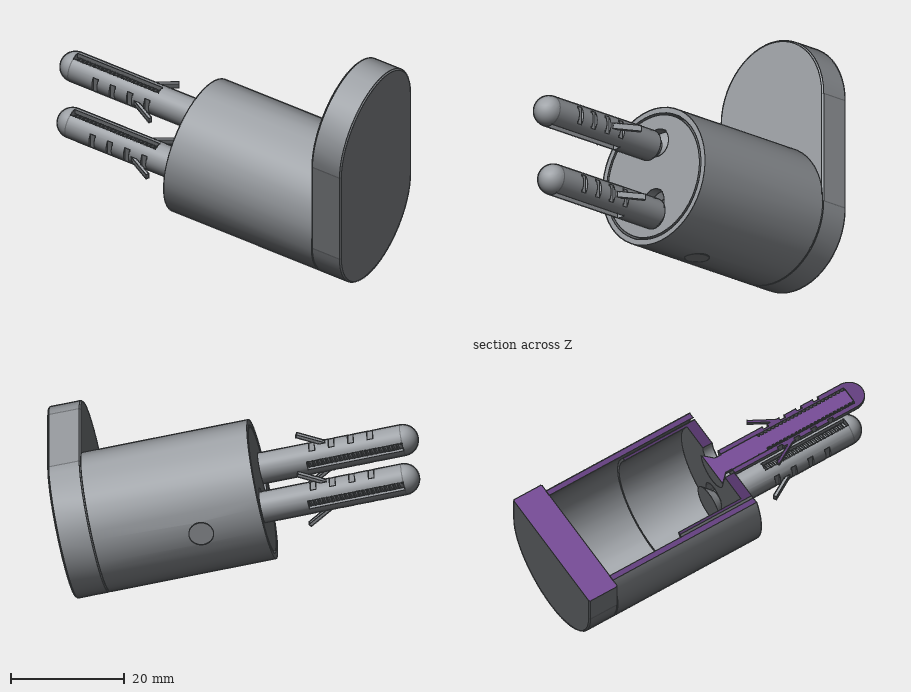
import cadquery as cq
import math


total_length = 64.3
plate_thickness = 6.0
tube_length = 30.0
plate_start = total_length - plate_thickness
tube_start = plate_start - tube_length

body_diameter = 25.0
body_radius = body_diameter / 2
plate_height = 45
plate_center_height = plate_height / 2 - body_radius
plate_chamfer = 0.25
bore_radius = 11.5

insert_clearance = 0.4
insert_radius = bore_radius - insert_clearance
insert_length = 15.0
insert_floor = 2.0
insert_wall = 0.5
slot_width = 5.0
slot_length = 7.2
slot_offset = 6.0

dowel_radius = 2.75
dowel_shift = 1.0
split_width = 1.55
split_end = 20.0
notch_count = 4
notch_width = 1.0
notch_depth = 0.5
notch_span = 10.5
notch_pitch = notch_span / (notch_count - 1)
first_notch = 8.2
barb_angle = 30
barb_thickness = 0.6
barb_height = 1.0
barb_tip_x = 20.7
barb_reach = 5.35
barb_length = 5.5

shank_radius = 1.8
crest_clearance = 0.03
crest_radius = shank_radius - crest_clearance
root_radius = 1.4
ten_turns_length = 8.0
thread_pitch = ten_turns_length / 10
ridge_base = 0.5
ridge_crest = 0.05
ridge_overlap = 0.05
head_radius = 3.55
thread_start = dowel_radius
thread_end = split_end + thread_pitch

set_screw_radius = 2.2
set_screw_inset = 11.0
set_screw_x = tube_start + set_screw_inset

upper_mount = (dowel_shift, slot_offset)
lower_mount = (0, -slot_offset - dowel_shift)
mounts = [upper_mount, lower_mount]


def rod(start, end, radius):
    """Solid cylinder along X, centred on the X axis."""
    return cq.Workplane("YZ", origin=(start, 0, 0)).circle(radius).extrude(end - start)


def set_screw_rod():
    """Vertical cylinder from the bottom of the tube up to the insert."""
    return (
        cq.Workplane("XY", origin=(set_screw_x, 0, -body_radius))
        .circle(set_screw_radius)
        .extrude(body_radius)
        .cut(rod(tube_start, plate_start, insert_radius))
    )


def make_plate():
    return (
        cq.Workplane("YZ", origin=(plate_start, 0, plate_center_height))
        .slot2D(plate_height, body_diameter, 90)
        .extrude(plate_thickness)
        .faces("<X or >X")
        .chamfer(plate_chamfer)
    )


def make_tube():
    tube = rod(tube_start, plate_start, body_radius)
    bore = rod(tube_start, plate_start, bore_radius)
    return tube.cut(bore).cut(set_screw_rod())


def make_insert():
    insert = rod(tube_start, tube_start + insert_length, insert_radius)
    cavity = rod(tube_start + insert_floor, tube_start + insert_length, insert_radius - insert_wall)
    face = cq.Workplane("YZ", origin=(tube_start, 0, 0))
    upper_slot = face.center(0, slot_offset).slot2D(slot_length, slot_width).extrude(insert_floor)
    lower_slot = face.center(0, -slot_offset).slot2D(slot_length, slot_width, 90).extrude(insert_floor)
    return insert.cut(cavity).cut(upper_slot).cut(lower_slot)


def make_barb(side):
    """Barb leaning out toward the tube, on the +Y (side = 1) or -Y (side = -1) flank."""
    slope = math.radians(barb_angle)
    along = (math.cos(slope), math.sin(slope))
    across = (math.sin(slope), -math.cos(slope))
    tip = (barb_tip_x, barb_reach)
    tip_inner = (tip[0] + across[0] * barb_thickness, tip[1] + across[1] * barb_thickness)
    root = (tip[0] - along[0] * barb_length, tip[1] - along[1] * barb_length)
    root_inner = (tip_inner[0] - along[0] * barb_length, tip_inner[1] - along[1] * barb_length)
    outline = [(x, side * y) for x, y in (root, tip, tip_inner, root_inner)]
    return (
        cq.Workplane("XY", origin=(0, 0, -barb_height / 2))
        .polyline(outline)
        .close()
        .extrude(barb_height)
    )


def make_dowel():
    dowel = (
        cq.Workplane("XY")
        .lineTo(tube_start, 0)
        .lineTo(tube_start, -dowel_radius)
        .lineTo(dowel_radius, -dowel_radius)
        .radiusArc((0, 0), dowel_radius)
        .close()
        .revolve(360, (0, 0, 0), (1, 0, 0))
    )

    split_length = split_end - dowel_radius
    split_center = (dowel_radius + split_end) / 2
    split = cq.Workplane("XY", origin=(split_center, 0, 0)).box(
        split_length, split_width, 2 * dowel_radius
    )
    dowel = dowel.cut(split)

    for side in (1, -1):
        for index in range(notch_count):
            notch = cq.Workplane("XY").box(notch_width, 2 * notch_depth, 2 * dowel_radius)
            notch_x = first_notch + index * notch_pitch
            dowel = dowel.cut(notch.translate((notch_x, side * dowel_radius, 0)))
        dowel = dowel.union(make_barb(side))

    return dowel.cut(rod(thread_start, tube_start, shank_radius))


def make_thread():
    """Right-handed ridge on the screw core, wound along X from the screw tip."""
    inner_radius = root_radius - ridge_overlap
    helix = cq.Wire.makeHelix(thread_pitch, thread_end - thread_start - ridge_base, inner_radius)
    ridge = (
        cq.Workplane("XZ")
        .polyline([
            (inner_radius, -ridge_base / 2),
            (crest_radius, -ridge_crest / 2),
            (crest_radius, ridge_crest / 2),
            (inner_radius, ridge_base / 2),
        ])
        .close()
        .sweep(cq.Workplane(helix), isFrenet=True)
    )
    along_x = ridge.rotate((0, 0, 0), (0, 1, 0), 90)
    return along_x.translate((thread_start + ridge_base / 2, 0, 0))


def make_screw():
    core = rod(thread_start, thread_end, root_radius)
    seat = tube_start + insert_floor
    cone_start = seat - (slot_width / 2 - shank_radius)
    cone_end = cone_start + head_radius - shank_radius
    shank_and_head = (
        cq.Workplane("XY")
        .moveTo(thread_end, 0)
        .lineTo(thread_end, -shank_radius)
        .lineTo(cone_start, -shank_radius)
        .lineTo(cone_end, -head_radius)
        .lineTo(cone_end, 0)
        .close()
        .revolve(360, (0, 0, 0), (1, 0, 0))
    )
    return core.union(make_thread()).union(shank_and_head)


plate = make_plate()
tube = make_tube()
insert = make_insert()
set_screw = set_screw_rod()
dowel = make_dowel()
screw = make_screw()
dowels = []
screws = []
for y, z in mounts:
    dowels.append(dowel.translate((0, y, z)).val())
    screws.append(screw.translate((0, y, z)).val())

result = cq.Compound.makeCompound(
    [plate.val(), tube.val(), insert.val(), set_screw.val(), *dowels, *screws]
)